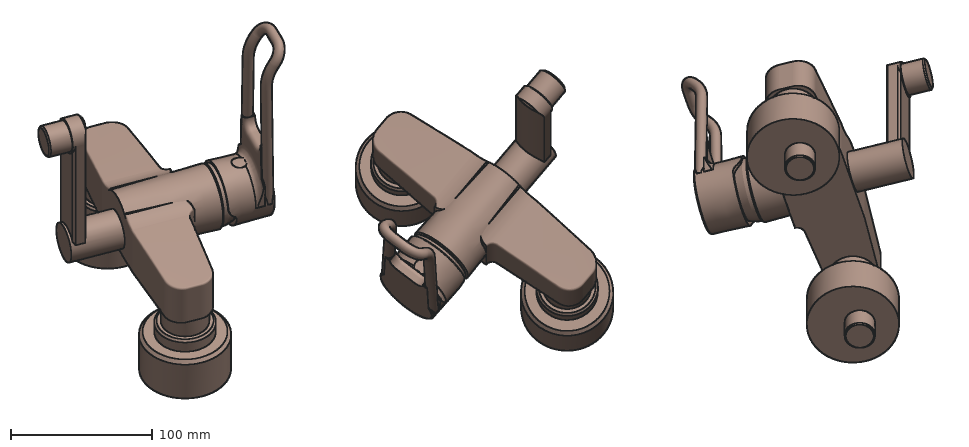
import cadquery as cq
import math


overlap = 1.2

inlet_spacing = 149.7
neck_radius = 17.3
collar_radius = 21.9
rosette_radius = 32.7
pipe_radius = 10.8
collar_top = -15.4
collar_bevel = 1.7
rosette_top = -25.7
rosette_bottom = -60.3
rosette_bevel = 2.6
pipe_end = -76.9
pipe_offset_y = -5.0
pipe_bevel = 1.0

barrel_axis_z = 24.5
barrel_back_radius = 24.3
barrel_front_radius = 22.3
body_front_y = -22.0
barrel_back_y = 50.0
barrel_rim_bevel = 1.2
arm_back_y = 21.9
arm_half_length = 93.5
arm_root_x = 27.1
arm_root_height = 38.0
arm_tip_height = 32.0
arm_crown = 0.5
arm_narrowing = 4.5
arm_corner_radius = 13.2
arm_edge_fillet = 1.5
arm_back_fillet = 5.8
sweep_inset = 0.7
fairing_top_x = 15.1
fairing_mid_x = 21.0
fairing_mid_z = 39.5

cap_axis_z = 25.2
cap_front_radius = 24.7
cap_back_radius = 24.0
cap_front_y = 53.0
cap_back_y = 88.6
cap_bevel = 1.0
cap_relief_y = 59.5
cap_relief_low_z = 16.8
cap_relief_high_z = 30.0
neck_ring_radius = 23.0
neck_cone_radius = 21.1
dot_radius = 5.5
dot_y = 70.6
dot_height = 0.2

plate_front_y = 79.5
plate_blend = 5.8
plate_top_z = 67.7
window_corner_radius = 7.7
window_front_fillet = 3.8
rod_radius = 4.0
rod_y = 84.3
leg_foot_x = 20.5
leg_lean = 1.6
loop_top_z = 159.3
loop_corner = 11.0
bend_start_z = 130.2
bend_radius = 33.6
bend_angle = 35.2

tube_radius = 14.7
tube_z = 16.8
tube_end_y = -62.7
riser_half_width = 13.0
riser_back_y = -47.8
riser_side_y = -51.6
riser_front_y = -60.5
riser_edge_bevel = 1.7
outlet_z = 116.5
outlet_radius = 11.5
outlet_end_y = -78.0
outlet_bevel = 1.2
flange_step = 0.2


def along_y(radius, start, end, z, end_radius=None):
    """Cylinder or cone about a Y axis at height z."""
    tip = radius if end_radius is None else end_radius
    outline = [(0, start), (radius, start), (tip, end), (0, end)]
    return cq.Workplane("XY").polyline(outline).close().revolve(360, (0, 0), (0, 1)).translate((0, 0, z))


def inlet(x):
    """Neck, collar, rosette and supply pipe below the body at x."""
    outline = [
        (0, overlap),
        (neck_radius, overlap),
        (neck_radius, collar_top),
        (collar_radius - collar_bevel, collar_top),
        (collar_radius, collar_top - collar_bevel),
        (collar_radius, rosette_top),
        (rosette_radius - rosette_bevel, rosette_top),
        (rosette_radius, rosette_top - rosette_bevel),
        (rosette_radius, rosette_bottom),
        (0, rosette_bottom),
    ]
    fitting = cq.Workplane("XZ").polyline(outline).close().revolve(360, (0, 0), (0, 1)).translate((x, 0, 0))
    pipe = (
        cq.Workplane("XY", origin=(x, pipe_offset_y, pipe_end))
        .circle(pipe_radius)
        .extrude(rosette_bottom - pipe_end)
        .faces("<Z")
        .chamfer(pipe_bevel)
    )
    return fitting.union(pipe)


def body():
    """Tapered barrel with two arms above the inlets."""
    barrel = along_y(barrel_front_radius, body_front_y, barrel_back_y, barrel_axis_z, barrel_back_radius)
    barrel = barrel.faces(">Y").edges().chamfer(barrel_rim_bevel)

    mean_radius = (barrel_front_radius + barrel_back_radius) / 2
    fairing_top_z = barrel_axis_z + math.sqrt(mean_radius**2 - fairing_top_x**2)
    middle_x = (arm_root_x + arm_half_length) / 2
    middle_z = (arm_root_height + arm_tip_height) / 2 + arm_crown
    outline = (
        cq.Workplane("XZ")
        .moveTo(-arm_half_length, 0)
        .lineTo(arm_half_length, 0)
        .lineTo(arm_half_length, arm_tip_height)
        .threePointArc((middle_x, middle_z), (arm_root_x, arm_root_height))
        .threePointArc((fairing_mid_x, fairing_mid_z), (fairing_top_x, fairing_top_z))
        .lineTo(-fairing_top_x, fairing_top_z)
        .threePointArc((-fairing_mid_x, fairing_mid_z), (-arm_root_x, arm_root_height))
        .threePointArc((-middle_x, middle_z), (-arm_half_length, arm_tip_height))
        .close()
        .extrude(arm_back_y - body_front_y, both=True)
    )
    sweep_x = barrel_back_radius - sweep_inset
    knee_x = sweep_x + arm_back_fillet
    half_plan = (
        cq.Workplane("XY")
        .moveTo(0, body_front_y)
        .lineTo(knee_x, body_front_y)
        .lineTo(arm_half_length, body_front_y + arm_narrowing)
        .lineTo(arm_half_length, arm_back_y - arm_narrowing)
        .lineTo(knee_x, arm_back_y)
        .radiusArc((sweep_x, arm_back_y + arm_back_fillet), arm_back_fillet)
        .lineTo(0, arm_back_y + arm_back_fillet)
        .close()
        .extrude(2 * arm_root_height)
        .edges("|Z and >X")
        .fillet(arm_corner_radius)
    )
    plan = half_plan.union(half_plan.mirror("YZ"))
    sweep_limit = (
        cq.Workplane("XY", origin=(0, arm_back_y + arm_back_fillet, 0))
        .rect(3 * arm_half_length, 4 * arm_back_y)
        .extrude(fairing_top_z)
        .translate((0, -2 * arm_back_y, 0))
        .edges(">Y and >Z")
        .fillet(arm_back_fillet)
    )
    arms = outline.intersect(plan).intersect(sweep_limit)
    for side in (-1, 1):
        rim = cq.selectors.BoxSelector(
            (side * fairing_mid_x, body_front_y - overlap, arm_root_height / 2),
            (side * (arm_half_length + overlap), arm_back_y + overlap, fairing_top_z),
        )
        arms = arms.edges(rim).edges("(not |Z) and (not |Y)").fillet(arm_edge_fillet)
    return barrel.union(arms)


def cap():
    """Handle cap and the neck that joins it to the barrel."""
    shell = along_y(cap_front_radius, cap_front_y, cap_back_y, cap_axis_z, cap_back_radius)
    shell = shell.faces(">Y").edges().chamfer(cap_bevel)
    reach = 2 * cap_front_radius
    relief = (
        cq.Workplane("YZ")
        .moveTo(cap_front_y - overlap, -reach)
        .lineTo(cap_relief_y, -reach)
        .lineTo(cap_relief_y, cap_relief_low_z)
        .spline([(cap_front_y, cap_relief_high_z)], tangents=[(0, 1), (0, 1)], includeCurrent=True)
        .lineTo(cap_front_y - overlap, cap_relief_high_z)
        .close()
        .extrude(reach, both=True)
    )
    neck = along_y(neck_ring_radius, barrel_back_y, cap_front_y, cap_axis_z)
    cone = along_y(neck_ring_radius, cap_front_y, cap_relief_y, cap_axis_z, neck_cone_radius)
    dot_column = (
        cq.Workplane("XY", origin=(0, dot_y, cap_axis_z))
        .circle(dot_radius)
        .extrude(2 * cap_front_radius)
    )
    dot = shell.translate((0, 0, dot_height)).intersect(dot_column)
    return shell.cut(relief).union(neck).union(cone).union(dot)


def leg_x(z):
    """Distance of the leaning lever legs from the middle at height z."""
    return leg_foot_x - (z - cap_axis_z) * math.tan(math.radians(leg_lean))


def lever_plate():
    """Panel between the lever legs, with a rounded window edge and a blend into the cap."""
    corner_z = plate_top_z + window_corner_radius
    inner_x = leg_x(corner_z) - rod_radius
    flat_x = inner_x - window_corner_radius
    panel = (
        cq.Workplane("XZ", origin=(0, cap_back_y, 0))
        .moveTo(-leg_foot_x, cap_axis_z)
        .lineTo(leg_foot_x, cap_axis_z)
        .lineTo(leg_x(corner_z), corner_z)
        .lineTo(inner_x, corner_z)
        .radiusArc((flat_x, plate_top_z), window_corner_radius)
        .lineTo(-flat_x, plate_top_z)
        .radiusArc((-inner_x, corner_z), window_corner_radius)
        .lineTo(-leg_x(corner_z), corner_z)
        .close()
        .extrude(cap_back_y - plate_front_y)
    )
    window_edge = cq.selectors.BoxSelector(
        (-inner_x, plate_front_y - overlap, plate_top_z - overlap),
        (inner_x, plate_front_y + overlap, corner_z - overlap),
    )
    panel = panel.edges(window_edge).fillet(window_front_fillet)

    ring_start = (cap_front_radius + cap_back_radius) / 2
    inner = cap_back_radius - overlap
    ring = (
        cq.Workplane("XY")
        .moveTo(inner, plate_front_y + overlap)
        .lineTo(inner, plate_front_y - plate_blend)
        .lineTo(ring_start, plate_front_y - plate_blend)
        .radiusArc((ring_start + plate_blend, plate_front_y), plate_blend)
        .lineTo(ring_start + plate_blend, plate_front_y + overlap)
        .close()
        .revolve(360, (0, 0), (0, 1))
        .translate((0, 0, cap_axis_z))
    )
    blend_width = 2 * (leg_foot_x + rod_radius)
    blend_room = (
        cq.Workplane("XY", origin=(0, plate_front_y, cap_axis_z))
        .rect(blend_width, 2 * plate_blend)
        .extrude(plate_top_z - cap_axis_z)
    )
    return panel.union(ring.intersect(blend_room))


def lever_loop():
    """Round rod: two legs rising from the cap, bending backwards and joined by a top bar."""
    lean = math.radians(leg_lean)
    tilt = math.radians(bend_angle)
    right = cq.Vector(1, 0, 0)
    back = cq.Vector(0, 1, 0)
    up = cq.Vector(-math.sin(lean), 0, math.cos(lean))
    slope = up * math.cos(tilt) + back * math.sin(tilt)

    foot = cq.Vector(leg_foot_x, rod_y, cap_axis_z)
    bend_start = cq.Vector(leg_x(bend_start_z), rod_y, bend_start_z)
    bend_rise = bend_radius * math.sin(tilt)
    bend_setback = bend_radius * (1 - math.cos(tilt))
    bend_end = bend_start + up * bend_rise + back * bend_setback
    top_corner = bend_end + slope * ((loop_top_z - bend_end.z) / slope.z)
    slope_end = top_corner - slope * loop_corner
    top_bar_end = top_corner - right * loop_corner
    middle = cq.Vector(0, top_corner.y, top_corner.z)

    half_path = cq.Wire.assembleEdges([
        cq.Edge.makeLine(middle, top_bar_end),
        cq.Edge.makeTangentArc(top_bar_end, right, slope_end),
        cq.Edge.makeLine(slope_end, bend_end),
        cq.Edge.makeTangentArc(bend_end, slope * -1, bend_start),
        cq.Edge.makeLine(bend_start, foot),
    ])
    section = cq.Workplane("YZ", origin=middle.toTuple()).circle(rod_radius)
    half_loop = section.sweep(cq.Workplane(obj=half_path))
    return half_loop.union(half_loop.mirror("YZ"))


def spout():
    """Horizontal tube, upright riser with a crowned back, and the outlet."""
    tube = along_y(tube_radius, tube_end_y, body_front_y + overlap, tube_z)
    riser = (
        cq.Workplane("XZ", origin=(0, riser_back_y, 0))
        .moveTo(-riser_half_width, tube_z)
        .lineTo(riser_half_width, tube_z)
        .lineTo(riser_half_width, outlet_z)
        .threePointArc((0, outlet_z + riser_half_width), (-riser_half_width, outlet_z))
        .close()
        .extrude(riser_back_y - riser_front_y)
        .faces("<Y or >Y")
        .chamfer(riser_edge_bevel)
    )
    crowned_plan = (
        cq.Workplane("XY")
        .moveTo(-riser_half_width, riser_front_y)
        .lineTo(riser_half_width, riser_front_y)
        .lineTo(riser_half_width, riser_side_y)
        .threePointArc((0, riser_back_y), (-riser_half_width, riser_side_y))
        .close()
        .extrude(outlet_z + riser_half_width)
    )
    outlet = along_y(outlet_radius, outlet_end_y, riser_front_y + overlap, outlet_z)
    outlet = outlet.faces("<Y").chamfer(outlet_bevel)
    flange_front_y = riser_front_y - flange_step
    flange = along_y(riser_half_width, flange_front_y, riser_front_y + riser_edge_bevel, outlet_z)
    return tube.union(riser.intersect(crowned_plan)).union(flange).union(outlet)


result = body().union(cap()).union(lever_plate()).union(lever_loop()).union(spout())
for side in (-1, 1):
    result = result.union(inlet(side * inlet_spacing / 2))